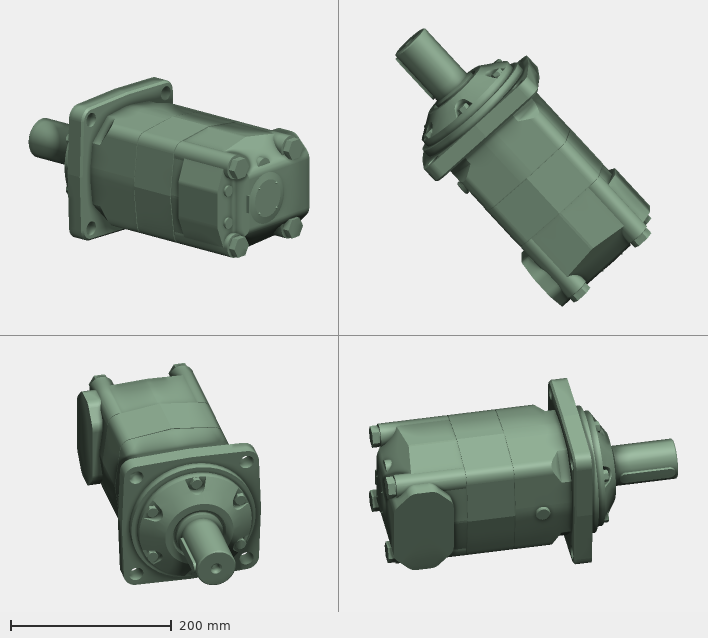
import cadquery as cq
import math


SHAFT_CONE_X = 78.0
SHAFT_JOURNAL_X = 80.5
COVER_FRONT_X = 82.5
COVER_RIM_X = 101.2
COVER_REAR_X = 111.0
FLANGE_FRONT_X = 121.0
FLANGE_REAR_X = 143.5
GEAR_FRONT_X = 215.2
GEAR_REAR_X = 276.8
END_COVER_REAR_X = 359.5
BOSS_END_X = 364.0
PORT_BLOCK_REAR_X = 371.0
MOTOR_LENGTH = 375.0

SHAFT_R = 25.0
JOURNAL_R = 30.0
SHAFT_CHAMFER = 1.5
CENTRE_HOLE_R = 10.0 / 2
CENTRE_SINK_R = 14.5 / 2
CENTRE_HOLE_DEPTH = 24.0
KEY_START_X = 4.0
KEY_LENGTH = 70.0
KEY_WIDTH = 14.0
KEY_HEIGHT = 9.0
KEY_TOP_Y = 27.8

COVER_FACE_R = 44.0
COVER_R = 72.5
SEAL_BORE_R = 32.2
SEAL_BORE_DEPTH = 3.8
SEAL_CHAMFER = 2.2
SCREW_COUNT = 6
SCREW_CIRCLE_R = 65.2
SCREW_FLATS = 13.0
SCREW_HEAD_HEIGHT = 6.0
SCREW_CHAMFER_ANGLE = 45
POCKET_R = 10.5
POCKET_CENTRE_R = 64.0
POCKET_SPLAY = math.radians(20)
POCKET_SIDE = 22.5

PILOT_R = 80.0
FLANGE_APEX = 179.0 / 2
FLANGE_CORNER = 86.2
FLANGE_CORNER_R = 16.0
FLANGE_HOLE_R = 18.0 / 2
FLANGE_HOLE_OFFSET = 71.0
FLANGE_CHAMFER = 2.5
BOLT_OFFSET = 51.5
CORNER_R = 15.5
BODY_APEX = 73.0
HOUSING_CREST_R = 78.8
RELIEF_DISTANCE = 76.5
RELIEF_FLAT_END_X = 156.0
RELIEF_RUNOUT = 15.0

PLUG_X = 181.0
PLUG_HEAD_R = 18.5 / 2
PLUG_SHANK_R = 14.0 / 2
PLUG_TOP_Y = 77.5
PLUG_HEAD_Y = 73.5
PLUG_SHANK_LENGTH = 15.0
PLUG_CHAMFER = 1.0

GEAR_APEX = 73.5
JOINT_LAND = 1.0

END_CREST = 72.5
END_CREST_HALF = 1.5
END_EDGE_ACROSS = 66.5
END_EDGE_ALONG = 48.0
END_SLOPE_SUM = 409.0
PORT_BLOCK_HALF_X = 38.0
PORT_BLOCK_HALF_Z = 61.0
PORT_BLOCK_ROUND = 15.0
PORT_BLOCK_Y = 81.0
PORT_BLOCK_LOW_Y = -33.0
PORT_FACE_FRONT_X = 293.2
PORT_FACE_REAR_X = 357.5
PORT_FACE_Y = -78.0
PORT_FACE_EDGE_Y = -66.8
PORT_FACE_BACK_Y = -41.2
PORT_FACE_HALF = 51.5
PORT_FACE_FLAT_HALF = 23.2
PORT_FACE_ROUND = 12.5
PAD_R = 14.0 / 2
PAD_Y = -59.2
PAD_Z = 21.0
PAD_END_X = 360.5
NOSE_R = 11.5
NOSE_Z = 39.5
NOSE_END_X = 366.8
TAB_WIDTH = 22.5
TAB_Y = -35.2
TAB_END_X = 372.0
BOLT_FLATS = 24.0
BOLT_WASHER_R = 11.2
BOLT_WASHER = 1.0
BOLT_END_X = 374.2

CAP_R = 33.0
CAP_FACE_R = 24.0
CAP_FACE_X = 372.8
CAP_POINT_OFFSET = 16.0
CAP_POINT_R = 1.5
CAP_SPIGOT_R = 18.8
CAP_SPIGOT = 5.5


def section(x):
    """Plane across the motor axis at x; its local axes are Y and Z."""
    return cq.Workplane("YZ", origin=(x, 0, 0))


def disc(x_start, x_end, radius):
    """Round disc about the motor axis."""
    return section(x_start).circle(radius).extrude(x_end - x_start)


def turned(profile):
    """Solid of revolution about the motor axis from (x, radius) points."""
    return cq.Workplane("XY").polyline(profile).close().revolve(360, (0, 0, 0), (1, 0, 0))


def around(points):
    """Repeat the points of one side for every quarter turn."""
    ring = []
    for turn in range(4):
        angle = turn * math.tau / 4
        for y, z in points:
            ring.append((
                y * math.cos(angle) - z * math.sin(angle),
                y * math.sin(angle) + z * math.cos(angle),
            ))
    return ring


def corners(offset):
    """Centres of the four corners of a square."""
    return [(y, z) for y in (-offset, offset) for z in (-offset, offset)]


def round_edges(prism, points, radius):
    """Round the X edges of a prism that pass through the given (y, z) points."""
    for y, z in points:
        box = cq.selectors.BoxSelector((0, y - 3.8, z - 3.8), (MOTOR_LENGTH, y + 3.8, z + 3.8))
        prism = prism.edges("|X").edges(box).fillet(radius)
    return prism


def bowed_square(x_start, x_end, apex, corner, corner_r):
    """Square prism whose sides bow out to an apex and whose corners are rounded."""
    prism = section(x_start).polyline(around([(apex, 0), (corner, corner)])).close()
    return round_edges(prism.extrude(x_end - x_start), corners(corner), corner_r)


def hex_head(x_start, x_end, flats, y, z):
    """Hexagon head along X with two flats facing +Z and -Z."""
    across_corners = flats / math.cos(math.pi / 6)
    head = section(x_start).center(y, z).polygon(6, across_corners)
    return head.extrude(x_end - x_start)


def body_corner(apex):
    """Half width at which a side tangent to the corner rounding crosses the diagonal."""
    reach = math.hypot(apex - BOLT_OFFSET, BOLT_OFFSET)
    lean = math.asin(CORNER_R / reach) - math.atan2(apex - BOLT_OFFSET, BOLT_OFFSET)
    return apex / (1 - math.tan(lean))


def key_blank():
    """Parallel key with round ends, seated on the +Y side of the shaft."""
    blank = cq.Workplane("XZ", origin=(KEY_START_X + KEY_LENGTH / 2, KEY_TOP_Y, 0))
    return blank.slot2D(KEY_LENGTH, KEY_WIDTH).extrude(KEY_HEIGHT)


def make_shaft():
    shaft = turned([
        (0, 0),
        (0, SHAFT_R - SHAFT_CHAMFER),
        (SHAFT_CHAMFER, SHAFT_R),
        (SHAFT_CONE_X, SHAFT_R),
        (SHAFT_JOURNAL_X, JOURNAL_R),
        (COVER_REAR_X, JOURNAL_R),
        (COVER_REAR_X, 0),
    ])
    centre_hole = turned([
        (0, 0),
        (0, CENTRE_SINK_R),
        (CENTRE_SINK_R - CENTRE_HOLE_R, CENTRE_HOLE_R),
        (CENTRE_HOLE_DEPTH, CENTRE_HOLE_R),
        (CENTRE_HOLE_DEPTH + CENTRE_HOLE_R, 0),
    ])
    return shaft.cut(centre_hole).cut(key_blank())


def screw_pocket():
    """Open pocket with splayed sides on the +Y side of the cover's cone."""
    start = (POCKET_CENTRE_R - POCKET_R * math.sin(POCKET_SPLAY), POCKET_R * math.cos(POCKET_SPLAY))
    end = (
        start[0] + POCKET_SIDE * math.cos(POCKET_SPLAY),
        start[1] + POCKET_SIDE * math.sin(POCKET_SPLAY),
    )
    outline = section(COVER_FRONT_X).moveTo(*start).lineTo(*end).lineTo(end[0], -end[1])
    outline = outline.lineTo(start[0], -start[1])
    outline = outline.threePointArc((POCKET_CENTRE_R - POCKET_R, 0), start).close()
    return outline.extrude(COVER_RIM_X - COVER_FRONT_X)


def make_front_cover():
    """Conical cover with its six screws."""
    cover = turned([
        (COVER_FRONT_X, SEAL_BORE_R + SEAL_CHAMFER),
        (COVER_FRONT_X, COVER_FACE_R),
        (COVER_RIM_X, COVER_R),
        (COVER_REAR_X, COVER_R),
        (COVER_REAR_X, JOURNAL_R),
        (COVER_FRONT_X + SEAL_BORE_DEPTH, JOURNAL_R),
        (COVER_FRONT_X + SEAL_BORE_DEPTH, SEAL_BORE_R),
        (COVER_FRONT_X + SEAL_CHAMFER, SEAL_BORE_R),
    ])
    for index in range(SCREW_COUNT):
        angle = 90 + index * 360 / SCREW_COUNT
        cover = cover.cut(screw_pocket().rotate((0, 0, 0), (1, 0, 0), angle))
    for index in range(SCREW_COUNT):
        angle = math.radians(90 + index * 360 / SCREW_COUNT)
        y = SCREW_CIRCLE_R * math.cos(angle)
        z = SCREW_CIRCLE_R * math.sin(angle)
        head = hex_head(COVER_RIM_X - SCREW_HEAD_HEIGHT, COVER_RIM_X, SCREW_FLATS, y, z)
        chamfer_cone = section(COVER_RIM_X - SCREW_HEAD_HEIGHT).center(y, z).circle(SCREW_FLATS / 2)
        chamfer_cone = chamfer_cone.extrude(SCREW_HEAD_HEIGHT, taper=-SCREW_CHAMFER_ANGLE)
        cover = cover.union(head.intersect(chamfer_cone))
    return cover


def corner_relief():
    """Cutter for the flat, with its 45 degree run-out, behind the flange hole on the +Y side."""
    outer = RELIEF_DISTANCE + RELIEF_RUNOUT
    outline = cq.Workplane("XY").polyline([
        (FLANGE_REAR_X, RELIEF_DISTANCE),
        (RELIEF_FLAT_END_X, RELIEF_DISTANCE),
        (RELIEF_FLAT_END_X + RELIEF_RUNOUT, outer),
        (FLANGE_REAR_X, outer),
    ]).close()
    return outline.extrude(BOLT_OFFSET, both=True)


def make_drain_plug():
    plug = cq.Workplane("XZ", origin=(PLUG_X, PLUG_TOP_Y, 0)).circle(PLUG_HEAD_R)
    plug = plug.extrude(PLUG_TOP_Y - PLUG_HEAD_Y).faces(">Y").chamfer(PLUG_CHAMFER)
    shank = cq.Workplane("XZ", origin=(PLUG_X, PLUG_HEAD_Y, 0)).circle(PLUG_SHANK_R)
    return plug.union(shank.extrude(PLUG_SHANK_LENGTH))


def make_housing():
    flange = bowed_square(FLANGE_FRONT_X, FLANGE_REAR_X, FLANGE_APEX, FLANGE_CORNER, FLANGE_CORNER_R)
    flange = flange.faces(">X").chamfer(FLANGE_CHAMFER)
    holes = section(FLANGE_FRONT_X).pushPoints(corners(FLANGE_HOLE_OFFSET)).circle(FLANGE_HOLE_R)
    flange = flange.cut(holes.extrude(FLANGE_REAR_X - FLANGE_FRONT_X))

    barrel = bowed_square(FLANGE_REAR_X, GEAR_FRONT_X, BODY_APEX, body_corner(BODY_APEX), CORNER_R)
    barrel = round_edges(barrel, around([(BODY_APEX, 0)]), HOUSING_CREST_R)
    for turn in range(4):
        barrel = barrel.cut(corner_relief().rotate((0, 0, 0), (1, 0, 0), 45 + 90 * turn))

    housing = disc(COVER_REAR_X, FLANGE_FRONT_X, PILOT_R).union(flange).union(barrel)
    return housing.cut(make_drain_plug())


def make_gear_set():
    """Gear ring with a narrow recessed land at each end."""
    corner = body_corner(GEAR_APEX)
    ring = bowed_square(GEAR_FRONT_X + JOINT_LAND, GEAR_REAR_X - JOINT_LAND, GEAR_APEX, corner, CORNER_R)
    lands = bowed_square(
        GEAR_FRONT_X, GEAR_REAR_X, GEAR_APEX - JOINT_LAND, corner - JOINT_LAND, CORNER_R - JOINT_LAND
    )
    return ring.union(lands)


def end_cover_core():
    """Bowed block with 45 degree slopes at the rear of its four sides."""
    core = section(GEAR_REAR_X).polyline(around([
        (END_EDGE_ACROSS, -END_EDGE_ALONG),
        (END_CREST, -END_CREST_HALF),
        (END_CREST, END_CREST_HALF),
        (END_EDGE_ACROSS, END_EDGE_ALONG),
    ])).close().extrude(END_COVER_REAR_X - GEAR_REAR_X)
    front_half = END_SLOPE_SUM - GEAR_REAR_X
    rear_half = END_SLOPE_SUM - END_COVER_REAR_X
    outline = [
        (GEAR_REAR_X, -front_half),
        (END_COVER_REAR_X, -rear_half),
        (END_COVER_REAR_X, rear_half),
        (GEAR_REAR_X, front_half),
    ]
    for plane in ("XZ", "XY"):
        sloped = cq.Workplane(plane).polyline(outline).close().extrude(FLANGE_APEX, both=True)
        core = core.intersect(sloped)
    return core


def port_block():
    """Long rounded octagon running through the cover along Y."""
    centre_x = PORT_BLOCK_REAR_X - PORT_BLOCK_HALF_X
    flat = END_SLOPE_SUM - PORT_BLOCK_HALF_Z - centre_x
    side = PORT_BLOCK_HALF_Z - (PORT_BLOCK_HALF_X - flat)
    slope = PORT_BLOCK_REAR_X - END_COVER_REAR_X
    low_y = PORT_BLOCK_LOW_Y - slope
    outline = cq.Workplane("XZ", origin=(centre_x, PORT_BLOCK_Y, 0)).polyline([
        (-PORT_BLOCK_HALF_X, -side),
        (-flat, -PORT_BLOCK_HALF_Z),
        (flat, -PORT_BLOCK_HALF_Z),
        (PORT_BLOCK_HALF_X, -side),
        (PORT_BLOCK_HALF_X, side),
        (flat, PORT_BLOCK_HALF_Z),
        (-flat, PORT_BLOCK_HALF_Z),
        (-PORT_BLOCK_HALF_X, side),
    ]).close()
    block = outline.extrude(PORT_BLOCK_Y - low_y).edges("|Y").fillet(PORT_BLOCK_ROUND)
    rear_slope = cq.Workplane("XY").polyline([
        (END_COVER_REAR_X, low_y),
        (PORT_BLOCK_REAR_X, PORT_BLOCK_LOW_Y),
        (PORT_BLOCK_REAR_X, low_y),
    ]).close().extrude(PORT_BLOCK_HALF_Z, both=True)
    return block.cut(rear_slope)


def port_face():
    """Port block on the -Y side, with sloping shoulders and two pads behind it."""
    block = section(PORT_FACE_FRONT_X).polyline([
        (PORT_FACE_BACK_Y, -PORT_FACE_HALF),
        (PORT_FACE_EDGE_Y, -PORT_FACE_HALF),
        (PORT_FACE_Y, -PORT_FACE_FLAT_HALF),
        (PORT_FACE_Y, PORT_FACE_FLAT_HALF),
        (PORT_FACE_EDGE_Y, PORT_FACE_HALF),
        (PORT_FACE_BACK_Y, PORT_FACE_HALF),
    ]).close().extrude(PORT_FACE_REAR_X - PORT_FACE_FRONT_X)
    shoulders = cq.selectors.BoxSelector(
        (PORT_FACE_FRONT_X, PORT_FACE_Y - 3.8, -PORT_FACE_HALF),
        (PORT_FACE_REAR_X, PORT_FACE_Y + 3.8, PORT_FACE_HALF),
    )
    block = block.edges("|X").edges(shoulders).fillet(PORT_FACE_ROUND)
    pads = section(PORT_FACE_FRONT_X).pushPoints([(PAD_Y, -PAD_Z), (PAD_Y, PAD_Z)]).circle(PAD_R)
    return block.union(pads.extrude(PAD_END_X - PORT_FACE_FRONT_X))


def make_rear_cap():
    """Low conical cap with four small points on its face, centred by a spigot."""
    cap = turned([
        (PORT_BLOCK_REAR_X - CAP_SPIGOT, 0),
        (PORT_BLOCK_REAR_X - CAP_SPIGOT, CAP_SPIGOT_R),
        (PORT_BLOCK_REAR_X, CAP_SPIGOT_R),
        (PORT_BLOCK_REAR_X, CAP_R),
        (CAP_FACE_X, CAP_FACE_R),
        (CAP_FACE_X, 0),
    ])
    for y, z in corners(CAP_POINT_OFFSET):
        height = MOTOR_LENGTH - CAP_FACE_X
        point = cq.Solid.makeCone(CAP_POINT_R, 0, height, cq.Vector(CAP_FACE_X, y, z), cq.Vector(1, 0, 0))
        cap = cap.union(cq.Workplane(point))
    return cap


def make_end_cover():
    """End cover with its ports, a nose, a small rear tab, and the four long bolts' bosses and heads."""
    cover = end_cover_core().union(port_block()).union(port_face())
    nose = section(GEAR_REAR_X).center(0, NOSE_Z).circle(NOSE_R)
    cover = cover.union(nose.extrude(NOSE_END_X - GEAR_REAR_X))
    tab_start_x = PORT_BLOCK_REAR_X - CAP_SPIGOT
    tab = cq.Workplane("XY").box(
        TAB_END_X - tab_start_x, PORT_BLOCK_LOW_Y - TAB_Y, TAB_WIDTH, centered=(False, False, True)
    ).translate((tab_start_x, TAB_Y, 0))
    cover = cover.union(tab)
    for y, z in corners(BOLT_OFFSET):
        boss = section(GEAR_REAR_X).center(y, z).circle(CORNER_R).extrude(BOSS_END_X - GEAR_REAR_X)
        washer = section(BOSS_END_X).center(y, z).circle(BOLT_WASHER_R).extrude(BOLT_WASHER)
        head = hex_head(BOSS_END_X + BOLT_WASHER, BOLT_END_X, BOLT_FLATS, y, z)
        cover = cover.union(boss).union(washer).union(head)
    return cover.cut(make_rear_cap())


shaft = make_shaft()
key = key_blank()
front_cover = make_front_cover()
housing = make_housing()
drain_plug = make_drain_plug()
gear_set = make_gear_set()
end_cover = make_end_cover()
rear_cap = make_rear_cap()

result = cq.Compound.makeCompound([
    shaft.solids().val(),
    key.solids().val(),
    front_cover.solids().val(),
    housing.solids().val(),
    drain_plug.solids().val(),
    gear_set.solids().val(),
    end_cover.solids().val(),
    rear_cap.solids().val(),
])